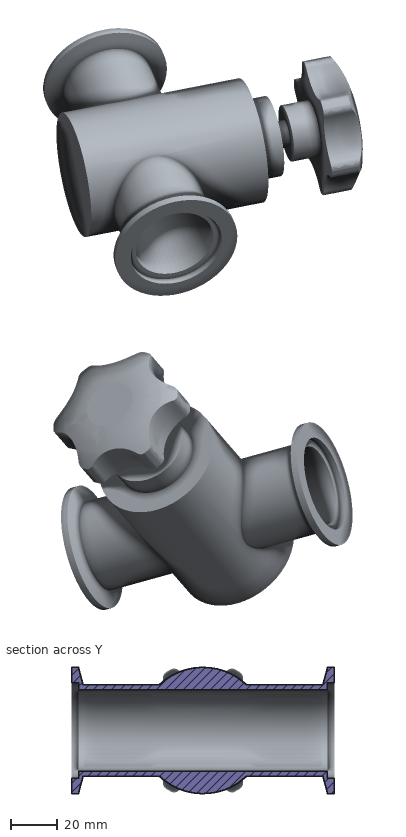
import cadquery as cq
import math


body_diameter = 55.0
body_length = 80.0
body_below_passage = 30.0
collar_diameter = 35.5
collar_length = 10.0
stem_diameter = 12.0
stem_length = 6.0

passage_span = 114.0
pipe_diameter = 40.1
bore_diameter = 35.0
flange_diameter = 55.0
flange_rim_thickness = 3.0
flange_taper_angle = 15
recess_diameter = 41.2
recess_depth = 3.0

hub_diameter = 25.0
hub_length = 12.0
knob_diameter = 60.0
knob_height = 18.0
dome_flat_diameter = 21.9
dome_drop = 5.7
lobe_count = 6
scallop_radius = 17.9
scallop_offset = 40.6
lobe_edge_radius = 3.0

body_start = -body_below_passage
body_end = body_start + body_length
collar_end = body_end + collar_length
hub_start = collar_end + stem_length
knob_start = hub_start + hub_length


def rod_along_y(diameter, start, length):
    """Round bar on the valve axis, from the station `start` towards +Y."""
    plane = cq.Workplane("XZ", origin=(0, start, 0))
    return plane.circle(diameter / 2).extrude(-length)


def rod_along_x(diameter, length):
    """Round bar on the passage axis, centred on the valve axis."""
    return cq.Workplane("YZ").circle(diameter / 2).extrude(length / 2, both=True)


def make_flanged_pipe():
    """Straight pipe with a taper-backed flange at each end, turned about X."""
    face = passage_span / 2
    rim_back = face - flange_rim_thickness
    taper_depth = (flange_diameter - pipe_diameter) / 2 * math.tan(math.radians(flange_taper_angle))
    taper_end = rim_back - taper_depth
    flange_radius = flange_diameter / 2
    pipe_radius = pipe_diameter / 2
    profile = (
        cq.Workplane("XY")
        .moveTo(-face, 0)
        .lineTo(-face, flange_radius)
        .lineTo(-rim_back, flange_radius)
        .lineTo(-taper_end, pipe_radius)
        .lineTo(taper_end, pipe_radius)
        .lineTo(rim_back, flange_radius)
        .lineTo(face, flange_radius)
        .lineTo(face, 0)
        .close()
    )
    return profile.revolve(360, (0, 0, 0), (1, 0, 0))


def make_passage():
    """Through bore together with the recess in each flange face."""
    bore = rod_along_x(bore_diameter, passage_span)
    recesses = rod_along_x(recess_diameter, passage_span).cut(
        rod_along_x(recess_diameter, passage_span - 2 * recess_depth)
    )
    return bore.union(recesses)


def make_valve_body():
    """Barrel, collar, stem and flanged pipe in one piece, bored along X."""
    barrel = rod_along_y(body_diameter, body_start, body_length)
    collar = rod_along_y(collar_diameter, body_end, collar_length)
    stem = rod_along_y(stem_diameter, collar_end, stem_length)
    solid = barrel.union(collar).union(stem).union(make_flanged_pipe())
    return solid.cut(make_passage())


def make_lobed_prism():
    """Straight-sided star knob with a lobe on the X axis and rounded lobe edges."""
    prism = rod_along_y(knob_diameter, knob_start, knob_height)
    lobe_pitch = 360 / lobe_count
    scallops = (
        cq.Workplane("XZ", origin=(0, knob_start, 0))
        .polarArray(scallop_offset, lobe_pitch / 2, 360, lobe_count)
        .circle(scallop_radius)
        .extrude(-knob_height)
    )
    return prism.cut(scallops).edges("|Y").fillet(lobe_edge_radius)


def make_dome():
    """Turned envelope of the knob: a flat top blending tangentially down to the rim."""
    top = knob_start + knob_height
    rim_radius = knob_diameter / 2
    profile = (
        cq.Workplane("XY")
        .moveTo(0, knob_start)
        .lineTo(0, top)
        .lineTo(dome_flat_diameter / 2, top)
        .tangentArcPoint((rim_radius, top - dome_drop), relative=False)
        .lineTo(rim_radius, knob_start)
        .close()
    )
    return profile.revolve(360, (0, 0, 0), (0, 1, 0))


def make_handle():
    """Domed star knob with its hub, which rests on the end of the stem."""
    hub = rod_along_y(hub_diameter, hub_start, hub_length)
    knob = make_lobed_prism().intersect(make_dome())
    return knob.union(hub)


valve_body = make_valve_body()
handle = make_handle()

result = cq.Compound.makeCompound([valve_body.val(), handle.val()])